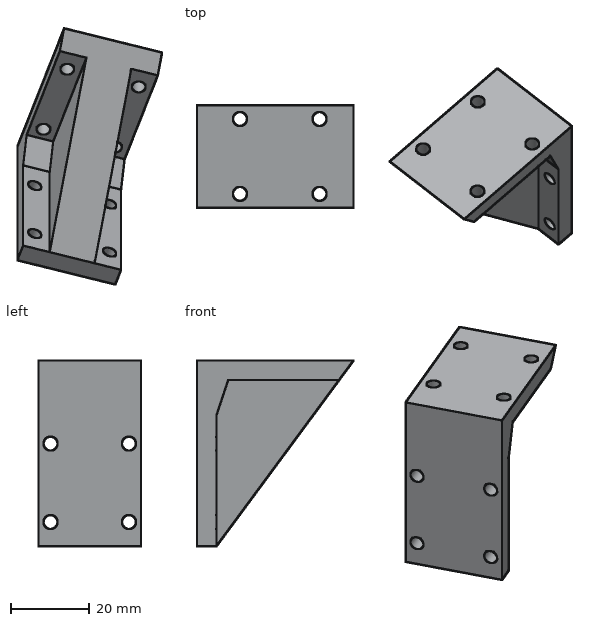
import cadquery as cq

length = 40.0
width = 26.2
height = 47.4

wall_thickness = 5.0
shelf_thickness = 5.0
web_thickness = 12.0
corner_bevel_x = 3.0
corner_bevel_z = 9.0

hole_diameter = 3.5
shelf_hole_spacing_x = 20.3
shelf_hole_spacing_y = 19.1
shelf_hole_center_x = 21.15
wall_hole_spacing_y = 20.0
wall_hole_spacing_z = 20.0
wall_hole_center_z = -31.2

slope_run_per_drop = (length - wall_thickness) / height
shelf_underside_length = length - shelf_thickness * slope_run_per_drop


def extrude_profile(points, thickness):
    """Extrude an XZ outline symmetrically about the Y mid-plane."""
    return cq.Workplane("XZ").polyline(points).close().extrude(thickness / 2, both=True)


def make_angle():
    """L-shaped wall and shelf with a steep bevel in the inside corner."""
    return extrude_profile(
        [
            (0, 0),
            (length, 0),
            (shelf_underside_length, -shelf_thickness),
            (wall_thickness + corner_bevel_x, -shelf_thickness),
            (wall_thickness, -shelf_thickness - corner_bevel_z),
            (wall_thickness, -height),
            (0, -height),
        ],
        width,
    )


def make_web():
    """Central triangular gusset, rooted in the wall and shelf."""
    return extrude_profile(
        [(0, 0), (length, 0), (wall_thickness, -height), (0, -height)],
        web_thickness,
    )


def make_shelf_holes():
    """Vertical holes through the shelf, either side of the web."""
    return (
        cq.Workplane("XY")
        .center(shelf_hole_center_x, 0)
        .rarray(shelf_hole_spacing_x, shelf_hole_spacing_y, 2, 2)
        .circle(hole_diameter / 2)
        .extrude(-shelf_thickness)
    )


def make_wall_holes():
    """Horizontal holes through the wall along X."""
    return (
        cq.Workplane("YZ")
        .center(0, wall_hole_center_z)
        .rarray(wall_hole_spacing_y, wall_hole_spacing_z, 2, 2)
        .circle(hole_diameter / 2)
        .extrude(wall_thickness)
    )


result = make_angle().union(make_web()).cut(make_shelf_holes()).cut(make_wall_holes())